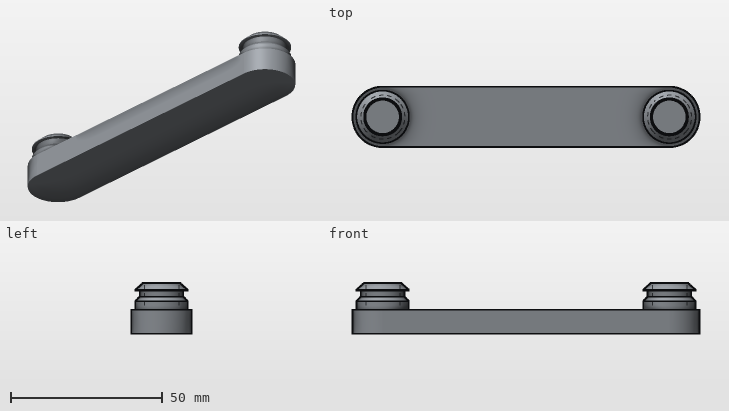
import cadquery as cq

PLATE_LENGTH = 114.5
PLATE_WIDTH = 20.0
PLATE_THICKNESS = 8.0
STUD_SPACING = PLATE_LENGTH - PLATE_WIDTH

COLLAR_RADIUS = 17.33 / 2
NECK_RADIUS = 14.5 / 2
COLLAR_TOP_RADIUS = 12.3 / 2
CORE_RADIUS = 11.3 / 2

TOTAL_HEIGHT = 16.75
SHOULDER_TOP = 10.75
NECK_BOTTOM = 12.25
LIP_BOTTOM = 14.25
LIP_THICKNESS = 0.25
LIP_TOP = LIP_BOTTOM + LIP_THICKNESS


def make_plate():
    return cq.Workplane("XY").slot2D(PLATE_LENGTH, PLATE_WIDTH).extrude(PLATE_THICKNESS)


def make_collar(x):
    """Ring with a straight base, a tapered shoulder, a neck groove and a conical head."""
    profile = [
        (CORE_RADIUS, PLATE_THICKNESS),
        (COLLAR_RADIUS, PLATE_THICKNESS),
        (COLLAR_RADIUS, SHOULDER_TOP),
        (NECK_RADIUS, NECK_BOTTOM),
        (NECK_RADIUS, LIP_BOTTOM),
        (COLLAR_RADIUS, LIP_BOTTOM),
        (COLLAR_RADIUS, LIP_TOP),
        (COLLAR_TOP_RADIUS, TOTAL_HEIGHT),
        (CORE_RADIUS, TOTAL_HEIGHT),
    ]
    ring = cq.Workplane("XZ").polyline(profile).close().revolve(360, (0, 0, 0), (0, 1, 0))
    return ring.translate((x, 0, 0))


def make_core(x):
    """Cylinder that fills the collar bore and ends flush with its top."""
    base = cq.Workplane("XY").workplane(offset=PLATE_THICKNESS).center(x, 0)
    return base.circle(CORE_RADIUS).extrude(TOTAL_HEIGHT - PLATE_THICKNESS)


plate = make_plate()
bodies = [plate.val()]
for stud_x in (-STUD_SPACING / 2, STUD_SPACING / 2):
    collar = make_collar(stud_x)
    core = make_core(stud_x)
    bodies += [collar.val(), core.val()]

result = cq.Compound.makeCompound(bodies)